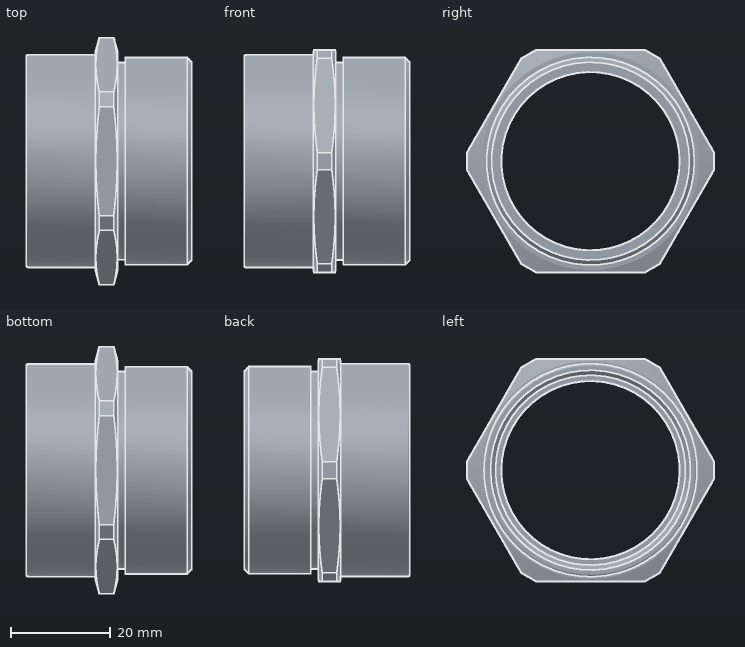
import cadquery as cq
import math

total_length = 33.5
sleeve_length = 14.0
hex_thickness = 4.55
relief_width = 1.5
hex_end = sleeve_length + hex_thickness
spigot_start = hex_end + relief_width

across_flats = 45.0
across_corners = 49.95
collar_face_radius = 22.05
collar_bevel_angle = 15.0

sleeve_radius = 21.55
sleeve_rim_fillet = 0.5
spigot_radius = 21.0
spigot_chamfer = 1.0
relief_radius = spigot_radius - spigot_chamfer

through_radius = 18.0
socket_radius = 19.2
socket_depth = 16.0
socket_chamfer = 1.0


def cylinder(radius, start, end):
    """Solid cylinder on the X axis between two X positions."""
    return cq.Workplane("YZ").workplane(offset=start).circle(radius).extrude(end - start)


def hexagon(flat_distance):
    """Hexagonal prism as thick as the collar, with two flats facing +Z and -Z."""
    corner_distance = flat_distance / math.cos(math.radians(30))
    collar_plane = cq.Workplane("YZ").workplane(offset=sleeve_length)
    return collar_plane.polygon(6, corner_distance).extrude(hex_thickness)


def bevel_envelope():
    """Two cones meeting base to base at mid-collar, which bevel the corners on both sides."""
    half_thickness = hex_thickness / 2
    ridge_radius = collar_face_radius + half_thickness / math.tan(math.radians(collar_bevel_angle))
    return (
        cq.Workplane("XY")
        .moveTo(sleeve_length, 0)
        .lineTo(sleeve_length, collar_face_radius)
        .lineTo(sleeve_length + half_thickness, ridge_radius)
        .lineTo(hex_end, collar_face_radius)
        .lineTo(hex_end, 0)
        .close()
        .revolve(360, (0, 0, 0), (1, 0, 0))
    )


def make_collar():
    """Bevelled hexagon whose corners are cut flat by a second hexagon turned 30 degrees."""
    corner_cutter = hexagon(across_corners).rotate((0, 0, 0), (1, 0, 0), 30)
    return hexagon(across_flats).intersect(corner_cutter).intersect(bevel_envelope())


def make_sleeve():
    """Plain sleeve with a rounded rim at the -X end."""
    return cylinder(sleeve_radius, 0, sleeve_length).faces("<X").edges().fillet(sleeve_rim_fillet)


def make_spigot():
    """Spigot with a chamfered +X end, joined to the collar by a narrower relief."""
    spigot = cylinder(spigot_radius, spigot_start, total_length)
    spigot = spigot.faces(">X").edges().chamfer(spigot_chamfer)
    return spigot.union(cylinder(relief_radius, hex_end, spigot_start))


def make_bore():
    """Through hole with a wider socket and a chamfered mouth at the -X end."""
    mouth = (
        cq.Workplane("YZ")
        .circle(socket_radius + socket_chamfer)
        .workplane(offset=socket_chamfer)
        .circle(socket_radius)
        .loft()
    )
    bore = cylinder(through_radius, 0, total_length)
    return bore.union(cylinder(socket_radius, 0, socket_depth)).union(mouth)


result = make_sleeve().union(make_collar()).union(make_spigot()).cut(make_bore())